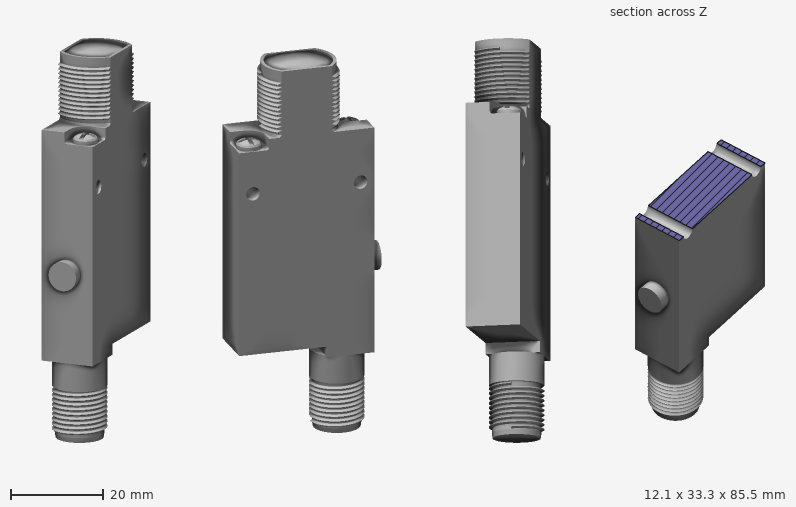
import cadquery as cq
import math

width = 12.1
depth = 30.7
half_width = width / 2
half_depth = depth / 2
housing_bottom = 20.5
housing_top = 69.8

lug_depth = 10.6
lug_bottom = 18.05

connector_radius = half_width
connector_y = -8.7
connector_core_radius = 5.4
collar_bottom = 11.6
tip_radius = 5.2
tip_chamfer_height = 1.1
connector_thread_start = 1.6
connector_thread_end = 11.2
connector_turns = 9

neck_radius = 9.0
neck_core_radius = 8.3
neck_top = 85.0
neck_foot_flare = 0.3
neck_foot_height = 0.5
neck_thread_start = 70.9
neck_thread_end = 82.9
neck_rim_bottom = 83.0
neck_turns = 12

lens_top = 85.5
lens_radius = 7.5
lens_width = 10.6
lens_sphere_radius = 20.5

ridge_base_share = 0.92
ridge_crest_share = 0.1
ridge_embed = 0.2

screw_x = 3.0
screw_y = 12.2
pocket_radius = 3.7
pocket_depth = 2.6
pocket_fillet = 0.6
screw_radius = 2.7
screw_rim_height = 0.85
screw_dome_radius = 2.5
screw_dome_base = 1.3
screw_head_height = 2.05
slot_width = 1.0
slot_floor_height = 1.2

hole_diameter = 3.1
hole_y = 12.2
hole_z = 57.6

button_radius = 3.25
button_length = 2.6
button_z = 38.15


def box(x_size, y_min, y_max, z_min, z_max):
    """Block centred on X between the given Y and Z limits."""
    block = cq.Workplane("XY", origin=(0, y_min, z_min))
    return block.box(x_size, y_max - y_min, z_max - z_min, centered=(True, False, False))


def cylinder(radius, z_min, z_max):
    """Upright cylinder on the Z axis."""
    return cq.Workplane("XY").workplane(offset=z_min).circle(radius).extrude(z_max - z_min)


def thread_ridge(core_radius, crest_radius, z_start, z_end, turns):
    """Right-hand helical ridge whose crest starts on the +Y side at z_start and ends at z_end."""
    pitch = (z_end - z_start) / turns
    base_half = ridge_base_share * pitch / 2
    crest_half = ridge_crest_share * pitch / 2
    inner = core_radius - ridge_embed
    helix = cq.Wire.makeHelix(pitch, z_end - z_start, core_radius)
    section = [
        (inner, -base_half),
        (inner, base_half),
        (crest_radius, crest_half),
        (crest_radius, -crest_half),
    ]
    ridge = (
        cq.Workplane("XZ")
        .polyline(section)
        .close()
        .sweep(cq.Workplane(obj=helix), isFrenet=True)
    )
    return ridge.rotate((0, 0, 0), (0, 0, 1), 90).translate((0, 0, z_start))


def make_housing():
    body = box(width, -half_depth, half_depth, housing_bottom, housing_top)
    lug = box(width, -half_depth, lug_depth - half_depth, lug_bottom, housing_bottom)
    holes = (
        cq.Workplane("YZ")
        .pushPoints([(-hole_y, hole_z), (hole_y, hole_z)])
        .circle(hole_diameter / 2)
        .extrude(half_width, both=True)
    )
    return body.union(lug).cut(holes)


def make_button():
    return (
        cq.Workplane("XZ", origin=(0, -half_depth, button_z))
        .circle(button_radius)
        .extrude(button_length)
    )


def make_connector():
    core = (
        cq.Workplane("XZ")
        .moveTo(0, 0)
        .lineTo(tip_radius, 0)
        .lineTo(connector_core_radius, tip_chamfer_height)
        .lineTo(connector_core_radius, collar_bottom)
        .lineTo(connector_radius, collar_bottom)
        .lineTo(connector_radius, lug_bottom)
        .lineTo(0, lug_bottom)
        .close()
        .revolve(360, (0, 0, 0), (0, 1, 0))
    )
    ridge = thread_ridge(
        connector_core_radius, connector_radius, connector_thread_start, connector_thread_end, connector_turns
    )
    return core.union(ridge).translate((0, connector_y, 0))


def make_neck():
    core = (
        cq.Workplane("XZ")
        .moveTo(0, housing_top)
        .lineTo(neck_core_radius + neck_foot_flare, housing_top)
        .lineTo(neck_core_radius, housing_top + neck_foot_height)
        .lineTo(neck_core_radius, neck_top)
        .lineTo(0, neck_top)
        .close()
        .revolve(360, (0, 0, 0), (0, 1, 0))
    )
    ridge = thread_ridge(neck_core_radius, neck_radius, neck_thread_start, neck_thread_end, neck_turns)
    ridge = ridge.intersect(cylinder(2 * neck_radius, housing_top, neck_rim_bottom))
    flats = box(width, -half_depth, half_depth, housing_top, neck_top)
    lens_edge = box(lens_width, -half_depth, half_depth, housing_top, lens_top)
    lens_column = cylinder(lens_radius, housing_top, lens_top).intersect(lens_edge)
    dome = cq.Workplane("XY").sphere(lens_sphere_radius).translate((0, 0, lens_top - lens_sphere_radius))
    lens = lens_column.intersect(dome)
    return core.union(ridge).intersect(flats).cut(lens_column).union(lens)


def make_pocket():
    """Pocket for the screw in the -X, +Y corner, open to both outer sides."""
    reach = 2 * pocket_radius
    floor = housing_top - pocket_depth
    diagonal = pocket_radius * math.sqrt(0.5)
    block = (
        cq.Workplane("XY", origin=(-screw_x, screw_y, floor))
        .moveTo(-reach, -pocket_radius)
        .lineTo(0, -pocket_radius)
        .threePointArc((diagonal, -diagonal), (pocket_radius, 0))
        .lineTo(pocket_radius, reach)
        .lineTo(-reach, reach)
        .close()
        .extrude(pocket_depth)
    )
    return block.faces("<Z").edges().fillet(pocket_fillet)


def make_screw():
    """Domed screw head with a cross slot, standing on the pocket floor."""
    floor = housing_top - pocket_depth
    dome_height = screw_head_height - screw_dome_base
    sphere_radius = (screw_dome_radius**2 + dome_height**2) / (2 * dome_height)
    mid_angle = math.asin(screw_dome_radius / sphere_radius) / 2
    dome_middle = (
        sphere_radius * math.sin(mid_angle),
        screw_head_height - sphere_radius * (1 - math.cos(mid_angle)),
    )
    head = (
        cq.Workplane("XZ")
        .lineTo(screw_radius, 0)
        .lineTo(screw_radius, screw_rim_height)
        .lineTo(screw_dome_radius, screw_dome_base)
        .threePointArc(dome_middle, (0, screw_head_height))
        .close()
        .revolve(360, (0, 0, 0), (0, 1, 0))
    )
    slot_base = cq.Workplane("XY", origin=(0, 0, slot_floor_height))
    slot = slot_base.rect(2 * screw_radius, slot_width).extrude(screw_head_height)
    cross = slot.union(slot.rotate((0, 0, 0), (0, 0, 1), 90))
    return head.cut(cross).translate((-screw_x, screw_y, floor))


result = make_housing().union(make_button()).union(make_connector()).union(make_neck())
for turn in (0, 180):
    pocket = make_pocket().rotate((0, 0, 0), (0, 0, 1), turn)
    screw = make_screw().rotate((0, 0, 0), (0, 0, 1), turn)
    result = result.cut(pocket).union(screw)